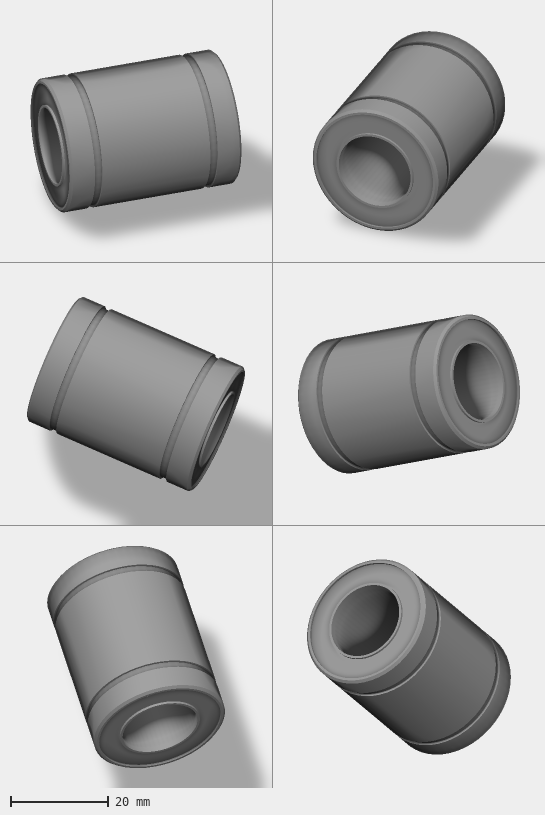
import cadquery as cq

outer_diameter = 28.0
bore_diameter = 16.0
length = 37.0
outer_chamfer = 0.5

groove_diameter = 27.0
groove_width = 1.6
groove_span = 26.5

inner_lip_width = 0.5
outer_lip_width = 0.5
recess_depth = 0.5
recess_inner_diameter = bore_diameter + 2 * inner_lip_width
recess_outer_diameter = outer_diameter - 2 * (outer_chamfer + outer_lip_width)


def cylinder(diameter, y_start, depth):
    """Solid cylinder along +Y starting at y_start."""
    plane = cq.Workplane("XZ", origin=(0, y_start, 0))
    return plane.circle(diameter / 2).extrude(-depth)


def ring(large_diameter, small_diameter, y_start, depth):
    """Ring along +Y starting at y_start."""
    return cylinder(large_diameter, y_start, depth).cut(cylinder(small_diameter, y_start, depth))


def make_sleeve():
    """Tube with chamfered outer edges."""
    body = cylinder(outer_diameter, -length / 2, length)
    body = body.faces("<Y or >Y").edges().chamfer(outer_chamfer)
    return body.cut(cylinder(bore_diameter, -length / 2, length))


def cut_grooves(body):
    """Cut the two retaining ring grooves."""
    for y_start in (-groove_span / 2, groove_span / 2 - groove_width):
        body = body.cut(ring(outer_diameter, groove_diameter, y_start, groove_width))
    return body


def cut_end_recesses(body):
    """Sink the middle of both end faces below their lips."""
    for y_start in (-length / 2, length / 2 - recess_depth):
        body = body.cut(ring(recess_outer_diameter, recess_inner_diameter, y_start, recess_depth))
    return body


result = cut_end_recesses(cut_grooves(make_sleeve()))